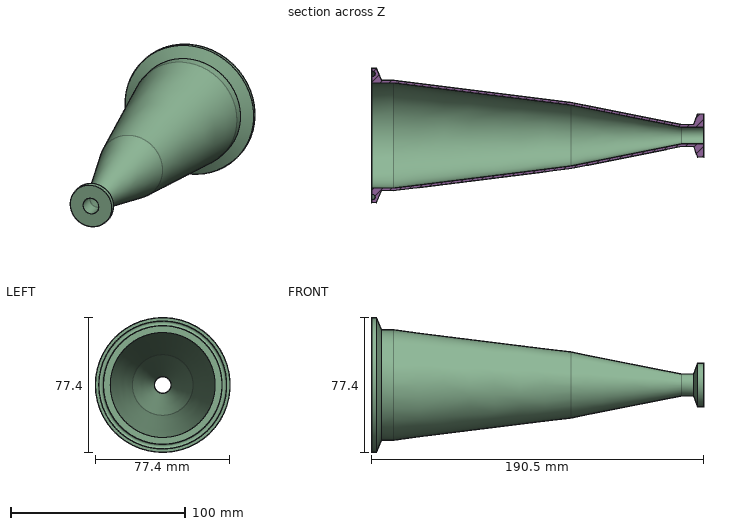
import cadquery as cq
import math

overall_length = 190.5
ferrule_length = 12.7
large_cone_length = 101.6

large_tube_diameter = 63.5
large_bore_diameter = 60.2
middle_diameter = 38.1
small_tube_diameter = 12.7
small_bore_diameter = 9.4
wall = (large_tube_diameter - large_bore_diameter) / 2

large_flange_diameter = 77.39
large_rim_thickness = 2.8
large_shoulder_angle = 23.0
small_flange_diameter = 24.99
small_rim_thickness = 3.63
small_shoulder_angle = 20.0

groove_inner_diameter = 68.2
groove_outer_diameter = 73.2
groove_depth = 2.0

large_tube_radius = large_tube_diameter / 2
large_bore_radius = large_bore_diameter / 2
large_flange_radius = large_flange_diameter / 2
small_tube_radius = small_tube_diameter / 2
small_bore_radius = small_bore_diameter / 2
small_flange_radius = small_flange_diameter / 2
middle_radius = middle_diameter / 2

large_cone_start = ferrule_length
cone_joint = large_cone_start + large_cone_length
small_cone_end = overall_length - ferrule_length


def shoulder_length(flange_radius, tube_radius, angle):
    """Axial length of the conical shoulder between a rim and its tube."""
    return (flange_radius - tube_radius) * math.tan(math.radians(angle))


def revolve_about_x(profile):
    """Full revolution of an (X, radius) profile about the X axis."""
    return profile.close().revolve(360, (0, 0, 0), (1, 0, 0))


def make_shell():
    """Hollow reducer with its two ferrules, as one revolved wall section."""
    large_shoulder = shoulder_length(large_flange_radius, large_tube_radius, large_shoulder_angle)
    large_shoulder_end = large_rim_thickness + large_shoulder
    small_rim_start = overall_length - small_rim_thickness
    small_shoulder = shoulder_length(small_flange_radius, small_tube_radius, small_shoulder_angle)
    small_shoulder_start = small_rim_start - small_shoulder

    outside = [
        (0, large_flange_radius),
        (large_rim_thickness, large_flange_radius),
        (large_shoulder_end, large_tube_radius),
        (large_cone_start, large_tube_radius),
        (cone_joint, middle_radius),
        (small_cone_end, small_tube_radius),
        (small_shoulder_start, small_tube_radius),
        (small_rim_start, small_flange_radius),
        (overall_length, small_flange_radius),
    ]
    inside = [
        (overall_length, small_bore_radius),
        (small_cone_end, small_bore_radius),
        (cone_joint, middle_radius - wall),
        (large_cone_start, large_bore_radius),
        (0, large_bore_radius),
    ]
    return revolve_about_x(cq.Workplane("XY").polyline(outside + inside))


def make_gasket_groove():
    """Ring with an arc section that cuts the groove in the large flange face."""
    inner_radius = groove_inner_diameter / 2
    outer_radius = groove_outer_diameter / 2
    groove_bottom = (groove_depth, (inner_radius + outer_radius) / 2)
    section = cq.Workplane("XY").moveTo(0, inner_radius).threePointArc(groove_bottom, (0, outer_radius))
    return revolve_about_x(section)


result = make_shell().cut(make_gasket_groove())